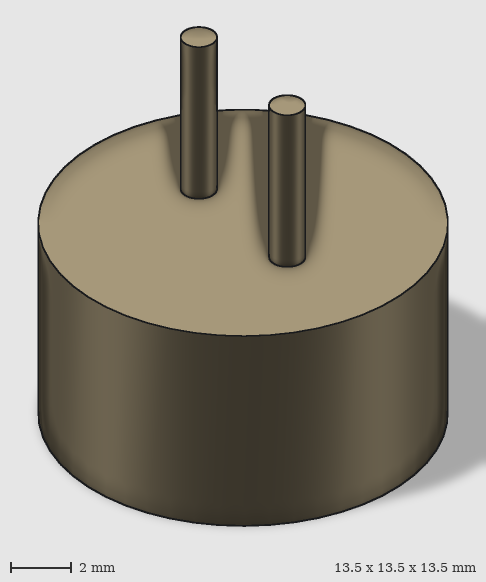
import cadquery as cq

body_diameter = 13.5
total_height = 13.5
pin_length = 6.0
pin_diameter = 1.2
pin_spacing = 5.0

body_height = total_height - pin_length

body = cq.Workplane("XY").circle(body_diameter / 2).extrude(body_height)

pins = (
    cq.Workplane("XY", origin=(0, 0, body_height))
    .pushPoints([(-pin_spacing / 2, 0), (pin_spacing / 2, 0)])
    .circle(pin_diameter / 2)
    .extrude(pin_length)
)

result = body.union(pins)